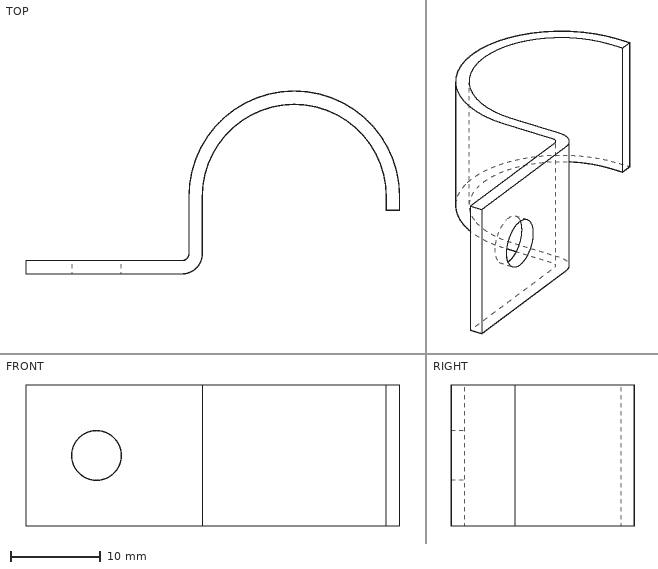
import cadquery as cq

overall_length = 41.99
overall_depth = 20.57
strap_width = 15.88
thickness = 1.524
loop_outer_radius = 11.84
free_end_length = 1.5875
bend_inner_radius = 0.762
hole_diameter = 5.56
hole_from_tab_end = 7.94

loop_inner_radius = loop_outer_radius - thickness
bend_outer_radius = bend_inner_radius + thickness
tab_end_x = loop_outer_radius - overall_length
tab_front_y = loop_outer_radius - overall_depth
tab_back_y = tab_front_y + thickness


def strap_profile():
    """Closed outline of the bent strap: flat tab, bend, straight leg, half loop and free end."""
    return (
        cq.Workplane("XY")
        .moveTo(tab_end_x, tab_front_y)
        .lineTo(-loop_inner_radius - bend_outer_radius, tab_front_y)
        .radiusArc((-loop_inner_radius, tab_front_y + bend_outer_radius), -bend_outer_radius)
        .lineTo(-loop_inner_radius, 0)
        .threePointArc((0, loop_inner_radius), (loop_inner_radius, 0))
        .lineTo(loop_inner_radius, -free_end_length)
        .lineTo(loop_outer_radius, -free_end_length)
        .lineTo(loop_outer_radius, 0)
        .threePointArc((0, loop_outer_radius), (-loop_outer_radius, 0))
        .lineTo(-loop_outer_radius, tab_back_y + bend_inner_radius)
        .radiusArc((-loop_outer_radius - bend_inner_radius, tab_back_y), bend_inner_radius)
        .lineTo(tab_end_x, tab_back_y)
        .close()
    )


def mounting_hole():
    """Cylinder that cuts the screw hole through the tab, centred across the strap width."""
    return (
        cq.Workplane("XZ", origin=(tab_end_x + hole_from_tab_end, tab_back_y, strap_width / 2))
        .circle(hole_diameter / 2)
        .extrude(thickness)
    )


result = strap_profile().extrude(strap_width).cut(mounting_hole())